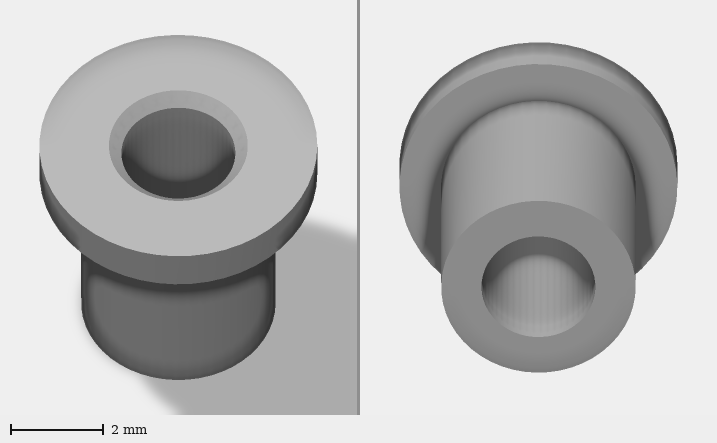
import cadquery as cq

flange_diameter = 6.0
flange_thickness = 1.0
sleeve_diameter = 4.2
total_height = 5.6
bore_diameter = 2.46
countersink_diameter = 3.0

countersink_depth = (countersink_diameter - bore_diameter) / 2
sleeve_length = total_height - flange_thickness

sleeve = cq.Workplane("XY").circle(sleeve_diameter / 2).extrude(sleeve_length)
flange = (
    cq.Workplane("XY")
    .workplane(offset=sleeve_length)
    .circle(flange_diameter / 2)
    .extrude(flange_thickness)
)
body = sleeve.union(flange)

bored = body.faces(">Z").workplane().hole(bore_diameter)
bore_rim = cq.selectors.RadiusNthSelector(0)
result = bored.faces(">Z").edges(bore_rim).chamfer(countersink_depth)